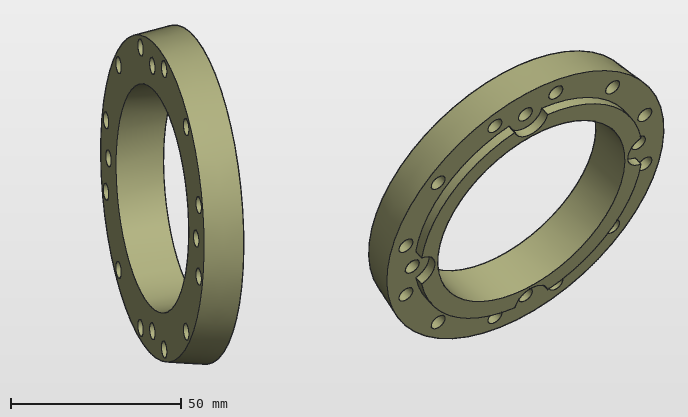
import cadquery as cq
import math

outer_diameter = 100.1
front_diameter = 96.5
flange_thickness = 11.7
bore_diameter = 67.6

collar_diameter = 80.1
total_thickness = 14.7
collar_height = total_thickness - flange_thickness

hole_diameter = 5.0
inner_hole_radius = 40.8
outer_hole_radius = 44.5
side_hole_angle = 14.3
relief_diameter = 12.0

quarter_turns = [0, 90, 180, 270]
outer_hole_offsets = [-side_hole_angle, side_hole_angle, 45]


def cylinder(diameter, start_y, length, x=0, z=0):
    """Cylinder along +Y starting at start_y."""
    return cq.Workplane(
        cq.Solid.makeCylinder(
            diameter / 2, length, cq.Vector(x, start_y, z), cq.Vector(0, 1, 0)
        )
    )


def polar_point(radius, angle):
    """X and Z of a point at an angle in degrees from +X."""
    turn = math.radians(angle)
    return radius * math.cos(turn), radius * math.sin(turn)


def tapered_flange():
    return cq.Workplane(
        cq.Solid.makeCone(
            front_diameter / 2,
            outer_diameter / 2,
            flange_thickness,
            cq.Vector(0, 0, 0),
            cq.Vector(0, 1, 0),
        )
    )


def relieved_collar():
    """Collar with a round relief around each inner hole."""
    collar = cylinder(collar_diameter, flange_thickness, collar_height)
    for angle in quarter_turns:
        x, z = polar_point(inner_hole_radius, angle)
        collar = collar.cut(cylinder(relief_diameter, flange_thickness, collar_height, x, z))
    return collar


body = tapered_flange().union(relieved_collar())
body = body.cut(cylinder(bore_diameter, 0, total_thickness))

hole_places = [polar_point(inner_hole_radius, angle) for angle in quarter_turns]
for angle in quarter_turns:
    for offset in outer_hole_offsets:
        hole_places.append(polar_point(outer_hole_radius, angle + offset))

for x, z in hole_places:
    body = body.cut(cylinder(hole_diameter, 0, total_thickness, x, z))

result = body